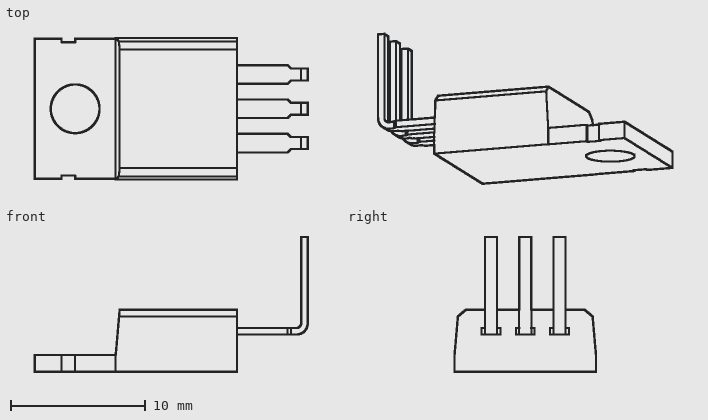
import cadquery as cq
import math

TAB_LENGTH = 6.0
TAB_WIDTH = 10.4
TAB_THICKNESS = 1.25
HOLE_DIAMETER = 3.6
HOLE_X = TAB_LENGTH / 2
NOTCH_START = 2.0
NOTCH_LENGTH = 1.0
NOTCH_DEPTH = 0.25

BODY_LENGTH = 9.0
BODY_WIDTH = 10.5
BODY_HEIGHT = 4.6
BODY_END = TAB_LENGTH + BODY_LENGTH
DRAFT_ANGLE = 5.0
BEVEL_WIDTH = 0.6
BEVEL_HEIGHT = 0.5

LEAD_COUNT = 3
LEAD_PITCH = 2.54
LEAD_THICKNESS = 0.5
LEAD_MID_Z = 3.0
LEAD_WIDE = 1.4
LEAD_NARROW = 0.9
LEAD_END_X = 20.25
LEAD_TOP_Z = 10.0
NECK_START_X = 18.75
NECK_STEP = (LEAD_WIDE - LEAD_NARROW) / 2
BEND_INNER_RADIUS = 0.35
LEAD_EMBED = 1.0


def make_tab():
    """Flat tab with a through hole and a shallow notch in each long edge."""
    tab = cq.Workplane("XY").box(
        TAB_LENGTH, TAB_WIDTH, TAB_THICKNESS, centered=(False, True, False)
    )
    hole = cq.Workplane("XY").center(HOLE_X, 0).circle(HOLE_DIAMETER / 2).extrude(TAB_THICKNESS)
    tab = tab.cut(hole)
    for side in (-1, 1):
        notch = (
            cq.Workplane("XY")
            .center(NOTCH_START + NOTCH_LENGTH / 2, side * TAB_WIDTH / 2)
            .rect(NOTCH_LENGTH, 2 * NOTCH_DEPTH)
            .extrude(TAB_THICKNESS)
        )
        tab = tab.cut(notch)
    return tab


def make_body():
    """Body section swept along X, with its front face sloped back above the tab."""
    draft = math.tan(math.radians(DRAFT_ANGLE))
    half_width = BODY_WIDTH / 2
    shoulder_z = BODY_HEIGHT - BEVEL_HEIGHT
    shoulder_y = half_width - draft * (shoulder_z - TAB_THICKNESS)
    top_y = shoulder_y - BEVEL_WIDTH
    body = (
        cq.Workplane("YZ", origin=(TAB_LENGTH, 0, 0))
        .moveTo(-half_width, 0)
        .lineTo(half_width, 0)
        .lineTo(half_width, TAB_THICKNESS)
        .lineTo(shoulder_y, shoulder_z)
        .lineTo(top_y, BODY_HEIGHT)
        .lineTo(-top_y, BODY_HEIGHT)
        .lineTo(-shoulder_y, shoulder_z)
        .lineTo(-half_width, TAB_THICKNESS)
        .close()
        .extrude(BODY_LENGTH)
    )
    front_setback = draft * (BODY_HEIGHT - TAB_THICKNESS)
    front_wedge = (
        cq.Workplane("XZ")
        .moveTo(TAB_LENGTH, TAB_THICKNESS)
        .lineTo(TAB_LENGTH + front_setback, BODY_HEIGHT)
        .lineTo(TAB_LENGTH, BODY_HEIGHT)
        .close()
        .extrude(half_width, both=True)
    )
    return body.cut(front_wedge)


def make_lead():
    """Lead centred on Y = 0: the bent strip trimmed to its necked plan outline."""
    start_x = BODY_END - LEAD_EMBED
    bottom_z = LEAD_MID_Z - LEAD_THICKNESS / 2
    top_z = bottom_z + LEAD_THICKNESS
    inner_x = LEAD_END_X - LEAD_THICKNESS
    outer_radius = BEND_INNER_RADIUS + LEAD_THICKNESS
    strip = (
        cq.Workplane("XZ")
        .moveTo(start_x, bottom_z)
        .lineTo(LEAD_END_X - outer_radius, bottom_z)
        .radiusArc((LEAD_END_X, bottom_z + outer_radius), -outer_radius)
        .lineTo(LEAD_END_X, LEAD_TOP_Z)
        .lineTo(inner_x, LEAD_TOP_Z)
        .lineTo(inner_x, top_z + BEND_INNER_RADIUS)
        .radiusArc((inner_x - BEND_INNER_RADIUS, top_z), BEND_INNER_RADIUS)
        .lineTo(start_x, top_z)
        .close()
        .extrude(LEAD_WIDE / 2, both=True)
    )
    neck_end_x = NECK_START_X + NECK_STEP
    plan = (
        cq.Workplane("XY")
        .moveTo(start_x, 0)
        .lineTo(start_x, LEAD_WIDE / 2)
        .lineTo(NECK_START_X, LEAD_WIDE / 2)
        .lineTo(neck_end_x, LEAD_NARROW / 2)
        .lineTo(LEAD_END_X, LEAD_NARROW / 2)
        .lineTo(LEAD_END_X, 0)
        .close()
        .extrude(LEAD_TOP_Z)
    )
    return strip.intersect(plan.union(plan.mirror("XZ")))


result = make_tab().union(make_body())
for index in range(LEAD_COUNT):
    lead_y = (index - (LEAD_COUNT - 1) / 2) * LEAD_PITCH
    result = result.union(make_lead().translate((0, lead_y, 0)))